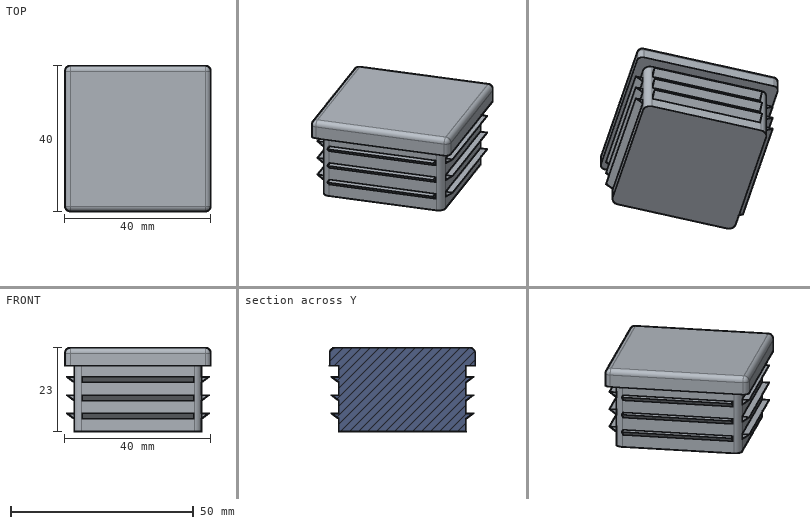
import cadquery as cq

cap_side = 40.0
cap_thickness = 5.0
cap_edge_radius = 1.5

total_height = 23.0
body_side = 35.0
body_corner_radius = 2.0
body_height = total_height - cap_thickness

fin_length = 30.6
fin_reach = 2.0
fin_height = 1.5
fin_spacing = 5.0
fin_count = 3
fin_root_overlap = 0.5


def make_cap():
    """Square head with rounded vertical edges and a rounded top rim."""
    cap = cq.Workplane("XY").workplane(offset=body_height)
    cap = cap.rect(cap_side, cap_side).extrude(cap_thickness)
    return cap.edges("|Z").fillet(cap_edge_radius).faces(">Z").edges().fillet(cap_edge_radius)


def make_body():
    """Square shank with rounded vertical edges, standing on Z = 0."""
    body = cq.Workplane("XY").rect(body_side, body_side).extrude(body_height)
    return body.edges("|Z").fillet(body_corner_radius)


def make_fin(top_z):
    """Fin on the +X side: flat on top, sloping underneath from its tip to the body."""
    face_x = body_side / 2
    root_x = face_x - fin_root_overlap
    profile = [
        (root_x, top_z),
        (face_x + fin_reach, top_z),
        (face_x, top_z - fin_height),
        (root_x, top_z - fin_height),
    ]
    return cq.Workplane("XZ").polyline(profile).close().extrude(fin_length / 2, both=True)


result = make_cap().union(make_body())
for level in range(1, fin_count + 1):
    fin = make_fin(level * fin_spacing)
    for side_angle in (0, 90, 180, 270):
        result = result.union(fin.rotate((0, 0, 0), (0, 0, 1), side_angle))